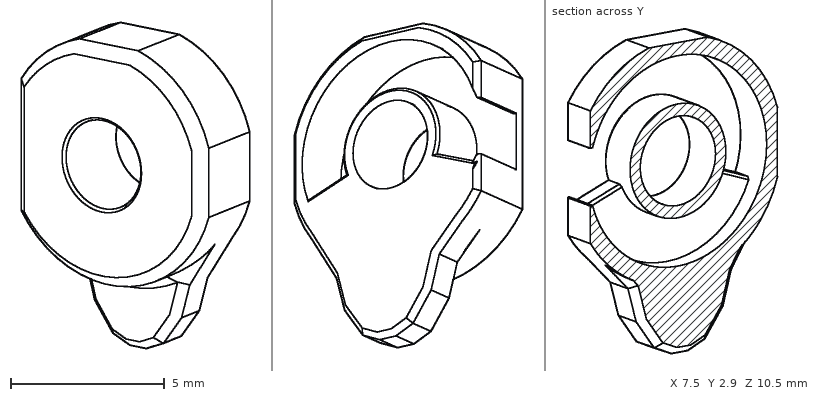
import cadquery as cq
import math

overall_height = 10.53
thickness = 2.9
body_radius = 4.16
left_flat = 3.51
flat = 3.99
front_chamfer = 0.4
back_chamfer = 0.2

floor_thickness = 0.75
cavity_radius = 3.54
hub_radius = 3.85 / 2
bore_radius = 2.99 / 2
small_chamfer = 0.1
window_width = 1.94

stop_thickness = 0.8
stop_angle = 20

tab_thickness = 1.5
tab_chamfer = 0.3
tab_center_x = 0.24
tab_tip_z = flat - overall_height
tab_half_profile = [(2.06, -4.08), (1.74, -5.24), (1.01, -6.24), (0.33, tab_tip_z)]
gusset_right = (3.43, -2.33)
gusset_left = (-3.09, -2.77)


def cylinder(radius, y_start, y_end):
    """Cylinder on the Y axis between two Y positions."""
    return cq.Workplane("XZ", origin=(0, y_start, 0)).circle(radius).extrude(y_start - y_end)


def chamfer_ends(solid):
    """Bevel the front and back rims of a solid."""
    return solid.faces("<Y").chamfer(front_chamfer).faces(">Y").chamfer(back_chamfer)


def make_body():
    width = left_flat + flat
    height = flat + 2 * body_radius
    trim = cq.Workplane("XY").box(width, thickness, height, centered=False)
    trim = trim.translate((-left_flat, 0, flat - height))
    return chamfer_ends(cylinder(body_radius, 0, thickness)).intersect(chamfer_ends(trim))


def make_tab():
    right_side = [(tab_center_x + x, z) for x, z in tab_half_profile]
    left_side = [(tab_center_x - x, z) for x, z in reversed(tab_half_profile)]
    outline = [(0, 0), gusset_right] + right_side + left_side + [gusset_left]

    slope_start = thickness - tab_thickness + tab_chamfer
    slope_depth = 2 * tab_chamfer
    back_edge = thickness - back_chamfer
    core = cq.Workplane("XZ", origin=(0, back_edge, 0)).polyline(outline).close()
    core = core.extrude(back_edge - slope_start)
    front = cq.Workplane("XZ", origin=(0, slope_start, 0)).polyline(outline).close()
    front = front.extrude(slope_depth, taper=45)
    back = cq.Workplane("XZ", origin=(0, back_edge, 0)).polyline(outline).close()
    back = back.extrude(-back_chamfer, taper=45)

    face_y = thickness - tab_thickness
    blend_y = face_y - tab_chamfer
    reach = 2 * body_radius
    limit_profile = [
        (0, blend_y),
        (body_radius, blend_y),
        (body_radius + tab_chamfer, face_y),
        (reach, face_y),
        (reach, thickness),
        (0, thickness),
    ]
    limit = cq.Workplane("XY").polyline(limit_profile).close().revolve(360, (0, 0, 0), (0, 1, 0))
    return core.union(front).union(back).intersect(limit)


def make_hub():
    return cylinder(hub_radius, 0, thickness).faces(">Y").edges().chamfer(small_chamfer)


def make_stop():
    ring = cylinder(cavity_radius + small_chamfer, thickness - stop_thickness, thickness)
    reach = 2 * cavity_radius
    drop = reach * math.tan(math.radians(stop_angle))
    sector = [(0, 0), (reach, -drop), (reach, -reach), (-reach, -reach), (-reach, -drop)]
    wedge = cq.Workplane("XZ", origin=(0, thickness, 0)).polyline(sector).close()
    wedge = wedge.extrude(stop_thickness)
    wedge = wedge.edges("not (#Z or |Z)").chamfer(small_chamfer)
    return ring.intersect(wedge)


cavity = cylinder(cavity_radius, floor_thickness, thickness)
window = cq.Workplane("XY").box(
    left_flat, thickness - floor_thickness, window_width, centered=(False, False, True))
window = window.translate((-left_flat, floor_thickness, 0))
bore = cylinder(bore_radius, 0, thickness)

result = make_body().union(make_tab()).cut(cavity).cut(window)
result = result.union(make_hub()).union(make_stop()).cut(bore)
bore_rim = cq.selectors.RadiusNthSelector(0)
result = result.faces("<Y").edges("%CIRCLE").edges(bore_rim).chamfer(small_chamfer)